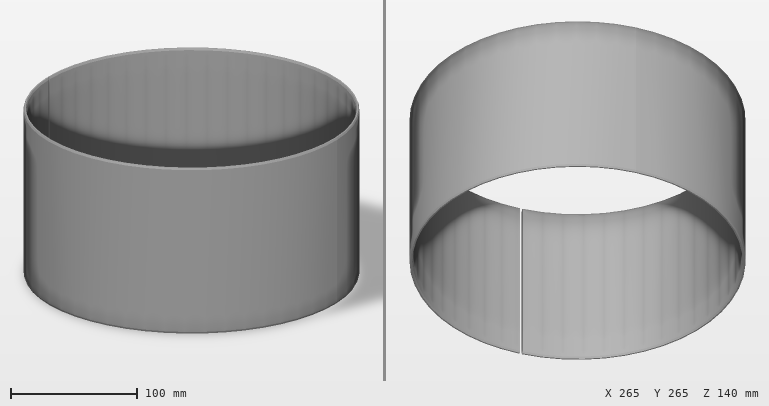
import cadquery as cq

outer_diameter = 265.0
height = 140.0
wall = 2.52
bevel_height = 1.5
bevel_depth = 0.65
slit_width = 2.25

outer_radius = outer_diameter / 2
inner_radius = outer_radius - wall


def make_band():
    """Thin band revolved from its wall section, with every rim bevelled."""
    inner_rim_radius = inner_radius + bevel_depth
    outer_rim_radius = outer_radius - bevel_depth
    wall_section = [
        (inner_rim_radius, 0),
        (outer_rim_radius, 0),
        (outer_radius, bevel_height),
        (outer_radius, height - bevel_height),
        (outer_rim_radius, height),
        (inner_rim_radius, height),
        (inner_radius, height - bevel_height),
        (inner_radius, bevel_height),
    ]
    return (
        cq.Workplane("XZ")
        .polyline(wall_section)
        .close()
        .revolve(360, (0, 0, 0), (0, 1, 0))
    )


def make_slit():
    """Full-height cutter that opens the -X side, with one face on the XZ plane."""
    cutter_length = 2 * wall
    cutter = cq.Workplane("XY").box(
        cutter_length, slit_width, height, centered=(True, False, False)
    )
    return cutter.translate((-outer_radius + wall / 2, 0, 0))


result = make_band().cut(make_slit())